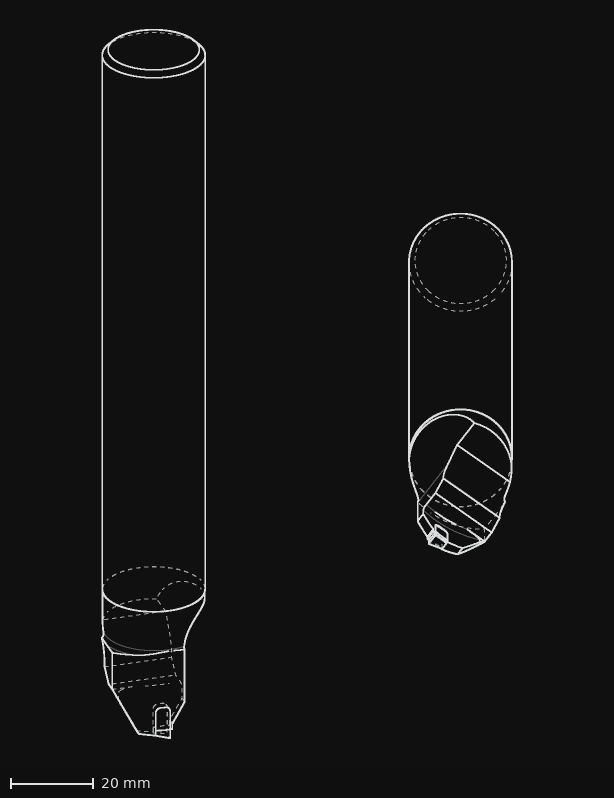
import cadquery as cq
import math

TOTAL_LENGTH = 180.0
TOTAL_WIDTH = 25.2
TOTAL_DEPTH = 25.5
SHANK_DIAMETER = 25.0
SHANK_RADIUS = SHANK_DIAMETER / 2
SHANK_CHAMFER = 1.5
NECK_DIAMETER = 24.8
NECK_RADIUS = NECK_DIAMETER / 2
NECK_TOP = 34.4
NECK_BOTTOM = 25.7

PAD_FRONT_Y = SHANK_RADIUS - TOTAL_DEPTH
PAD_BACK_Y = 4.0
PAD_LEDGE = 22.9
PAD_BOTTOM = 13.0
PAD_LEFT_X = 1.6
PAD_BEVEL = 3.2
OUTER_RADIUS = 20.9
LEDGE_FILLET = 1.0
SCOOP_RADIUS = 9.4
SIDE_SCOOP_LEVEL = 17.0

BLADE_FLAT_X = 7.7
BLADE_INNER_X = 10.0
BLADE_INNER_RADIUS = 29.7
BLADE_ROOT_FILLET = 1.3
BLADE_HEEL_Y = -7.4
BLADE_HEEL_Z = 1.6
BLADE_BACK_TOP = 9.0
BLADE_NOSE_Y = 0.7
BLADE_NOSE_TOP = 3.8
BLADE_NOSE_BOTTOM = 2.3
BLADE_RELIEF_ANGLE = 8.0

INSERT_BACK_Y = -3.5
INSERT_RAKE_Y = 0.2
INSERT_TOP = 8.5
INSERT_CORNER_RADIUS = 1.3
INSERT_RELIEF_ANGLE = 15.0
INSERT_INNER_X = 9.9
HEAD_INNER_X = 9.7
HEAD_OUTER_X = TOTAL_WIDTH - SHANK_RADIUS
HEAD_BACK_INNER_X = 10.3
HEAD_BACK_OUTER_X = 12.0

OUTER_CENTER_X = SHANK_RADIUS - OUTER_RADIUS
INNER_CENTER_X = BLADE_INNER_X - BLADE_INNER_RADIUS
BLADE_RELIEF_SLOPE = math.tan(math.radians(BLADE_RELIEF_ANGLE))
INSERT_RELIEF_SLOPE = math.tan(math.radians(INSERT_RELIEF_ANGLE))
BIG = 2 * SHANK_DIAMETER


def arc_x(center_x, radius, y):
    """X of the right-hand side of a circle centred on the X axis."""
    return center_x + math.sqrt(radius ** 2 - y ** 2)


def cylinder(radius, bottom, top):
    return cq.Workplane("XY").workplane(offset=bottom).circle(radius).extrude(top - bottom)


def extrude_along_x(profile_yz):
    """Closed (y, z) polygon made into a bar right across the part."""
    return cq.Workplane("YZ").polyline(profile_yz).close().extrude(BIG, both=True)


def curved_block(bottom, top):
    """Block with the pad's flat front and back and its curved outer face."""
    left_x = -NECK_RADIUS / 2
    return (
        cq.Workplane("XY").workplane(offset=bottom)
        .moveTo(left_x, PAD_FRONT_Y)
        .lineTo(arc_x(OUTER_CENTER_X, OUTER_RADIUS, PAD_FRONT_Y), PAD_FRONT_Y)
        .threePointArc((SHANK_RADIUS, 0), (arc_x(OUTER_CENTER_X, OUTER_RADIUS, PAD_BACK_Y), PAD_BACK_Y))
        .lineTo(left_x, PAD_BACK_Y)
        .close()
        .extrude(top - bottom)
    )


def ledge_fillet():
    """Concave ring between neck and ledge, trimmed to the pad outline."""
    top = PAD_LEDGE + LEDGE_FILLET
    rim = NECK_RADIUS + LEDGE_FILLET
    inward = LEDGE_FILLET * (1 - math.sqrt(0.5))
    ring = (
        cq.Workplane("XZ")
        .moveTo(0, PAD_LEDGE)
        .lineTo(rim, PAD_LEDGE)
        .threePointArc((NECK_RADIUS + inward, PAD_LEDGE + inward), (NECK_RADIUS, top))
        .lineTo(0, top)
        .close()
        .revolve(360, (0, 0, 0), (0, 1, 0))
    )
    return ring.intersect(curved_block(PAD_LEDGE, top))


def side_scoop():
    """Space on the left: open below the neck, rounded into the pad, bevelled at the pad bottom."""
    center_x = PAD_LEFT_X - SCOOP_RADIUS
    rise = NECK_BOTTOM - SIDE_SCOOP_LEVEL
    start_x = center_x + math.sqrt(SCOOP_RADIUS ** 2 - rise ** 2)
    middle = math.asin(rise / SCOOP_RADIUS) / 2
    return (
        cq.Workplane("XZ")
        .moveTo(-BIG, NECK_BOTTOM)
        .lineTo(start_x, NECK_BOTTOM)
        .threePointArc(
            (center_x + SCOOP_RADIUS * math.cos(middle), SIDE_SCOOP_LEVEL + SCOOP_RADIUS * math.sin(middle)),
            (PAD_LEFT_X, SIDE_SCOOP_LEVEL),
        )
        .lineTo(PAD_LEFT_X, PAD_BOTTOM + PAD_BEVEL)
        .lineTo(PAD_LEFT_X + PAD_BEVEL, PAD_BOTTOM)
        .lineTo(-BIG, PAD_BOTTOM)
        .close()
        .extrude(BIG, both=True)
    )


def back_scoop():
    """Round cut across the back of the neck, running tangent into the pad's back face."""
    return (
        cq.Workplane("YZ").center(PAD_BACK_Y + SCOOP_RADIUS, PAD_LEDGE)
        .circle(SCOOP_RADIUS).extrude(BIG, both=True)
    )


def blade_hollow():
    """Space inside the blade: curved face with a rounded root, plus the front flat."""
    drum = cylinder(BLADE_INNER_RADIUS, -PAD_BOTTOM, PAD_BOTTOM)
    curved = drum.faces(">Z").edges().fillet(BLADE_ROOT_FILLET).translate((INNER_CENTER_X, 0, 0))
    flat = cq.Workplane("XY").box(BIG, BIG, 2 * PAD_BOTTOM).translate((BLADE_FLAT_X - BIG / 2, 0, 0))
    return curved.union(flat)


def blade_outline():
    """Bar with the side profile of pad and blade: sloped front edge, relieved foot, tapered back."""
    nose_relief_z = BLADE_HEEL_Z - BLADE_RELIEF_SLOPE * (INSERT_BACK_Y - BLADE_HEEL_Y)
    return extrude_along_x([
        (PAD_FRONT_Y, PAD_LEDGE),
        (PAD_FRONT_Y, PAD_BOTTOM),
        (BLADE_HEEL_Y, BLADE_HEEL_Z),
        (INSERT_BACK_Y, nose_relief_z),
        (INSERT_RAKE_Y, BLADE_NOSE_BOTTOM),
        (BLADE_NOSE_Y, BLADE_NOSE_BOTTOM),
        (BLADE_NOSE_Y, BLADE_NOSE_TOP),
        (PAD_BACK_Y, BLADE_BACK_TOP),
        (PAD_BACK_Y, PAD_LEDGE),
    ])


def insert_outline():
    """Bar with the insert's upright side profile, two rounded upper corners and a relieved bottom."""
    relief_z = INSERT_RELIEF_SLOPE * (INSERT_RAKE_Y - INSERT_BACK_Y)
    return extrude_along_x([
        (INSERT_RAKE_Y, 0),
        (INSERT_RAKE_Y, INSERT_TOP),
        (INSERT_BACK_Y, INSERT_TOP),
        (INSERT_BACK_Y, relief_z),
    ]).edges("|X and >Z").fillet(INSERT_CORNER_RADIUS)


def make_holder():
    """Shank, neck, pad and blade in one piece, with the seat for the insert."""
    shank = cylinder(SHANK_RADIUS, NECK_TOP, TOTAL_LENGTH).faces(">Z").chamfer(SHANK_CHAMFER)
    neck = cylinder(NECK_RADIUS, PAD_LEDGE, NECK_TOP)
    lug = curved_block(0, PAD_LEDGE).intersect(blade_outline()).cut(blade_hollow())
    holder = shank.union(neck).union(ledge_fillet()).union(lug)
    return holder.cut(side_scoop()).cut(back_scoop()).cut(insert_outline())


def make_insert():
    """Insert stem, flush with the blade's outer face, with the wider cutting head at its foot."""
    outer_side = cq.Workplane("XY").box(BIG, BIG, BIG).translate((INSERT_INNER_X + BIG / 2, 0, 0))
    stem_block = curved_block(BLADE_NOSE_BOTTOM, INSERT_TOP).intersect(outer_side)
    head_plan = [
        (HEAD_INNER_X, INSERT_RAKE_Y),
        (HEAD_OUTER_X, INSERT_RAKE_Y),
        (HEAD_BACK_OUTER_X, INSERT_BACK_Y),
        (HEAD_BACK_INNER_X, INSERT_BACK_Y),
    ]
    head_block = cq.Workplane("XY").polyline(head_plan).close().extrude(BLADE_NOSE_BOTTOM)
    return stem_block.union(head_block).intersect(insert_outline())


holder = make_holder()
cutting_insert = make_insert()
result = cq.Compound.makeCompound([holder.val(), cutting_insert.val()])